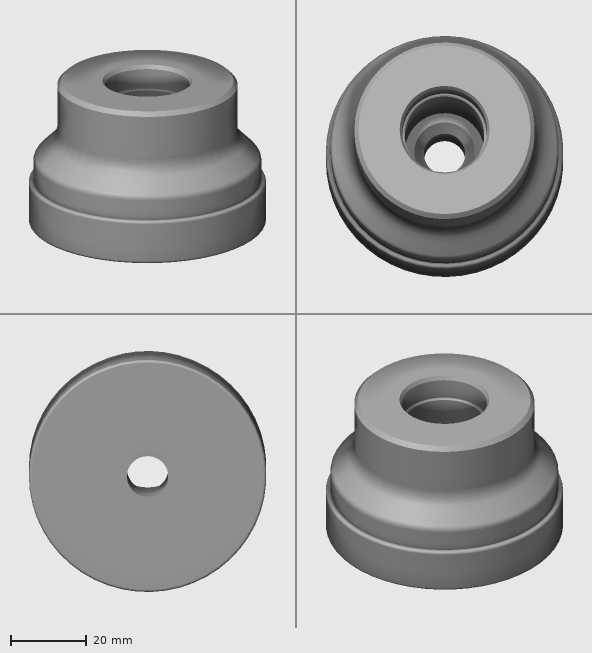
import cadquery as cq
import math

base_radius = 31.5
total_height = 40.0

base_height = 12.05
base_edge_round = 0.75
shoulder_radius = 30.25
shoulder_corner_height = 18.35
shoulder_round = 2.0
neck_radius = 23.95
neck_round = 5.0
top_chamfer = 1.15

mouth_radius = 11.9
mouth_depth = 1.1
upper_bore_radius = 11.3
upper_bore_depth = 6.5
ledge_inner_radius = 10.9
lower_bore_radius = 10.5
ledge_chamfer_depth = 0.3
bore_depth = 28.05
countersink_radius = 8.0
through_radius = 5.5


def round_ends(radius):
    """Vertical and radial extents of a 45 degree arc tangent to a vertical wall."""
    vertical = radius * math.sin(math.radians(45))
    radial = radius * (1 - math.cos(math.radians(45)))
    return vertical, radial


def arc_middle(radius):
    """Vertical and radial offsets, from the wall tangent point, of that arc's midpoint."""
    half = math.radians(22.5)
    return radius * math.sin(half), radius * (1 - math.cos(half))


def make_base():
    disc = cq.Workplane("XY").circle(base_radius).extrude(base_height)
    return disc.faces("<Z or >Z").edges().fillet(base_edge_round)


def make_upper_body():
    tangent_ratio = math.tan(math.radians(22.5))
    neck_corner_height = shoulder_corner_height + shoulder_radius - neck_radius
    low = shoulder_corner_height - shoulder_round * tangent_ratio
    high = neck_corner_height + neck_round * tangent_ratio

    low_rise, low_inset = round_ends(shoulder_round)
    low_mid_rise, low_mid_inset = arc_middle(shoulder_round)
    high_drop, high_flare = round_ends(neck_round)
    high_mid_drop, high_mid_flare = arc_middle(neck_round)

    profile = (
        cq.Workplane("XZ")
        .lineTo(shoulder_radius, 0)
        .lineTo(shoulder_radius, low)
        .threePointArc(
            (shoulder_radius - low_mid_inset, low + low_mid_rise),
            (shoulder_radius - low_inset, low + low_rise),
        )
        .lineTo(neck_radius + high_flare, high - high_drop)
        .threePointArc(
            (neck_radius + high_mid_flare, high - high_mid_drop),
            (neck_radius, high),
        )
        .lineTo(neck_radius, total_height - top_chamfer)
        .lineTo(neck_radius - top_chamfer, total_height)
        .lineTo(0, total_height)
        .close()
    )
    return profile.revolve(360, (0, 0), (0, 1))


def make_bore():
    ledge_height = total_height - upper_bore_depth
    floor_height = total_height - bore_depth
    countersink_depth = countersink_radius - through_radius
    profile = (
        cq.Workplane("XZ")
        .lineTo(through_radius, 0)
        .lineTo(through_radius, floor_height - countersink_depth)
        .lineTo(countersink_radius, floor_height)
        .lineTo(lower_bore_radius, floor_height)
        .lineTo(lower_bore_radius, ledge_height - ledge_chamfer_depth)
        .lineTo(ledge_inner_radius, ledge_height)
        .lineTo(upper_bore_radius, ledge_height)
        .lineTo(upper_bore_radius, total_height - mouth_depth)
        .lineTo(mouth_radius, total_height)
        .lineTo(0, total_height)
        .close()
    )
    return profile.revolve(360, (0, 0), (0, 1))


result = make_base().union(make_upper_body()).cut(make_bore())